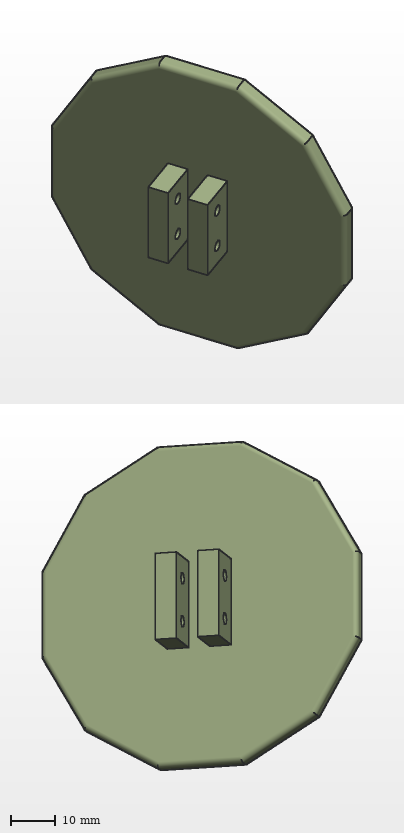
import cadquery as cq
import math

side_count = 12
width_across_flats = 74.55
plate_thickness = 4.4
rim_radius = 1.2

lug_thickness = 5.0
lug_gap = lug_thickness
lug_reach = 10.0
lug_height = 20.0
hole_diameter = 2.5
hole_spacing = lug_height / 2


def make_plate():
    """Regular polygon plate with flats on +-X and +-Z and rounded rims; front face at Y = 0."""
    corner_radius = width_across_flats / 2 / math.cos(math.pi / side_count)
    corner_angles = [(2 * i + 1) * math.pi / side_count for i in range(side_count)]
    corners = [(corner_radius * math.cos(a), corner_radius * math.sin(a)) for a in corner_angles]
    plate = cq.Workplane("XZ").polyline(corners).close().extrude(-plate_thickness)
    return plate.faces("<Y or >Y").edges().fillet(rim_radius)


def make_lug(center_x):
    """Rectangular lug projecting toward -Y with two pin holes through its thickness."""
    lug = cq.Workplane("XY").box(lug_thickness, lug_reach, lug_height)
    lug = (
        lug.faces(">X")
        .workplane()
        .pushPoints([(0, -hole_spacing / 2), (0, hole_spacing / 2)])
        .hole(hole_diameter)
    )
    return lug.translate((center_x, -lug_reach / 2, 0))


lug_offset = (lug_gap + lug_thickness) / 2
result = make_plate()
for center_x in (-lug_offset, lug_offset):
    result = result.union(make_lug(center_x))